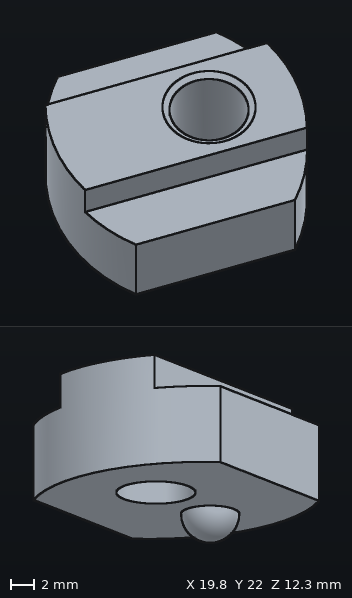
import cadquery as cq
import math

width = 19.8
length = 22.0
end_radius = 15.0
base_height = 6.8

rib_width = 10.0
rib_height = 3.0
body_height = base_height + rib_height

hole_diameter = 6.8
mouth_diameter = 8.0
hole_y = 3.0
mouth_angle = 120.0
mouth_depth = (mouth_diameter - hole_diameter) / 2 / math.tan(math.radians(mouth_angle / 2))

ball_radius = 2.5
ball_y = -5.0


def arched_prism(prism_width, height):
    """Prism with flat sides and ends arched to the end radius."""
    half_width = prism_width / 2
    half_length = length / 2
    arch_rise = end_radius - math.sqrt(end_radius**2 - half_width**2)
    corner_y = half_length - arch_rise
    return (
        cq.Workplane("XY")
        .moveTo(-half_width, -corner_y)
        .threePointArc((0, -half_length), (half_width, -corner_y))
        .lineTo(half_width, corner_y)
        .threePointArc((0, half_length), (-half_width, corner_y))
        .close()
        .extrude(height)
    )


def countersunk_hole():
    """Cutting body for the vertical through hole and its conical mouth."""
    bore = cq.Workplane("XY").center(0, hole_y).circle(hole_diameter / 2).extrude(body_height)
    mouth = (
        cq.Workplane("XY", origin=(0, hole_y, body_height))
        .circle(mouth_diameter / 2)
        .workplane(offset=-mouth_depth)
        .circle(hole_diameter / 2)
        .loft()
    )
    return bore.union(mouth)


base = arched_prism(width, base_height)
rib = arched_prism(rib_width, body_height)
ball = cq.Workplane("XY").sphere(ball_radius).translate((0, ball_y, 0))

result = base.union(rib).union(ball).cut(countersunk_hole())